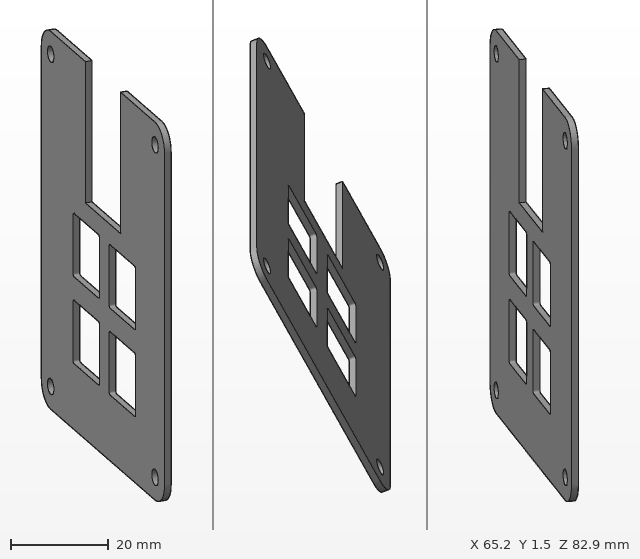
import cadquery as cq

PLATE_WIDTH = 65.2
PLATE_HEIGHT = 82.9
PLATE_THICKNESS = 1.5
CORNER_RADIUS = 5.0

HOLE_DIAMETER = 3.4
HOLE_SPACING_X = PLATE_WIDTH - 2 * CORNER_RADIUS
HOLE_SPACING_Z = PLATE_HEIGHT - 2 * CORNER_RADIUS

NOTCH_WIDTH = 18.5
NOTCH_DEPTH = 31.0

WINDOW_SIZE = 13.9
WINDOW_CORNER_RADIUS = 0.5
WINDOW_PITCH = 19.05
WINDOW_ROWS = 2
WINDOW_COLUMNS = 2
GRID_CENTER_X = 0.75
GRID_CENTER_Z = -10.5


def plane_at_front():
    """Workplane on the front (-Y) face: local x is X, local y is Z, normal is -Y."""
    return cq.Workplane("XZ", origin=(0, -PLATE_THICKNESS / 2, 0))


def make_plate():
    plate = plane_at_front().rect(PLATE_WIDTH, PLATE_HEIGHT).extrude(-PLATE_THICKNESS)
    return plate.edges("|Y").fillet(CORNER_RADIUS)


def make_mounting_holes():
    return (
        plane_at_front()
        .rarray(HOLE_SPACING_X, HOLE_SPACING_Z, 2, 2)
        .circle(HOLE_DIAMETER / 2)
        .extrude(-PLATE_THICKNESS)
    )


def make_notch():
    notch_center_z = PLATE_HEIGHT / 2 - NOTCH_DEPTH / 2
    return (
        plane_at_front()
        .center(0, notch_center_z)
        .rect(NOTCH_WIDTH, NOTCH_DEPTH)
        .extrude(-PLATE_THICKNESS)
    )


def make_windows():
    windows = (
        plane_at_front()
        .center(GRID_CENTER_X, GRID_CENTER_Z)
        .rarray(WINDOW_PITCH, WINDOW_PITCH, WINDOW_COLUMNS, WINDOW_ROWS)
        .rect(WINDOW_SIZE, WINDOW_SIZE)
        .extrude(-PLATE_THICKNESS)
    )
    return windows.edges("|Y").fillet(WINDOW_CORNER_RADIUS)


result = make_plate().cut(make_mounting_holes()).cut(make_notch()).cut(make_windows())